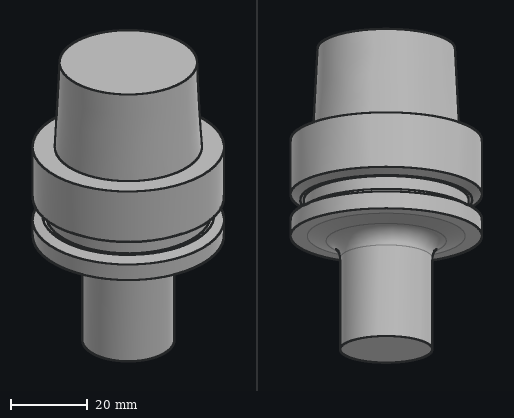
import cadquery as cq
import math

total_height = 81.85
flange_top = 57.0
flange_bottom = 30.85

flange_radius = 49.9 / 2
groove_radius = 43.0 / 2
groove_top = 40.7
groove_bottom = 36.9
groove_chamfer_height = 1.5
groove_chamfer_angle = math.radians(30)
groove_mouth_radius = flange_radius - groove_chamfer_height / math.tan(groove_chamfer_angle)

taper_base_radius = 38.4 / 2
taper_ratio = 1 / 10
taper_top_radius = taper_base_radius - (total_height - flange_top) * taper_ratio / 2

shank_radius = 24.1 / 2
shank_top = 24.8
blend_radius = 4.9
cone_angle = math.radians(15)
blend_sweep = math.pi / 2 - cone_angle


def blend_point(angle):
    """Point on the blend arc, turned by angle from the top of the shank."""
    radius = shank_radius + blend_radius * (1 - math.cos(angle))
    height = shank_top + blend_radius * math.sin(angle)
    return radius, height


blend_end = blend_point(blend_sweep)
cone_radius = blend_end[0] + (flange_bottom - blend_end[1]) / math.tan(cone_angle)

profile = (
    cq.Workplane("XZ")
    .moveTo(0, 0)
    .lineTo(shank_radius, 0)
    .lineTo(shank_radius, shank_top)
    .threePointArc(blend_point(blend_sweep / 2), blend_end)
    .lineTo(cone_radius, flange_bottom)
    .lineTo(flange_radius, flange_bottom)
    .lineTo(flange_radius, groove_bottom - groove_chamfer_height)
    .lineTo(groove_mouth_radius, groove_bottom)
    .lineTo(groove_radius, groove_bottom)
    .lineTo(groove_radius, groove_top)
    .lineTo(groove_mouth_radius, groove_top)
    .lineTo(flange_radius, groove_top + groove_chamfer_height)
    .lineTo(flange_radius, flange_top)
    .lineTo(taper_base_radius, flange_top)
    .lineTo(taper_top_radius, total_height)
    .lineTo(0, total_height)
    .close()
)

result = profile.revolve(360, (0, 0, 0), (0, 1, 0))